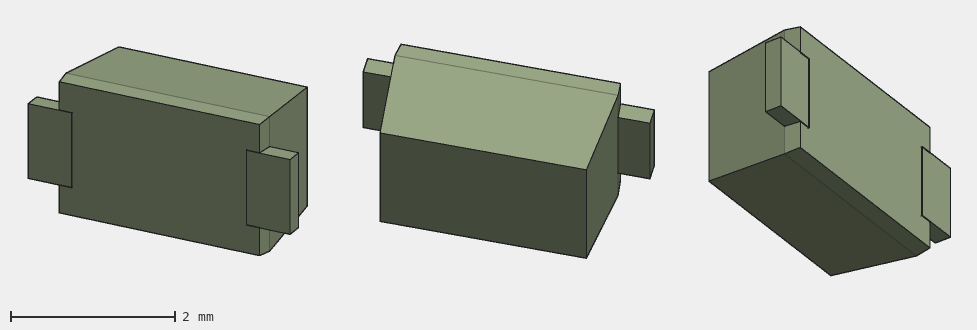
import cadquery as cq

housing_length = 2.8
housing_height = 1.8
back_draft = 5.0
front_draft = 6.0

overall_length = 3.6
terminal_length = 0.6
terminal_height = 1.0
terminal_thickness = 0.23
standoff = 0.01

overall_depth = 1.43
mounting_y = -overall_depth / 2
parting_y = mounting_y + terminal_thickness
front_depth = terminal_thickness - standoff
back_depth = overall_depth - terminal_thickness


def drafted_half(depth, draft, direction):
    """Half of the housing, narrowing from the parting plane along Y (direction +1 or -1)."""
    parting_plane = cq.Plane(origin=(0, parting_y, 0), xDir=(1, 0, 0), normal=(0, direction, 0))
    return (
        cq.Workplane(parting_plane)
        .rect(housing_length, housing_height)
        .extrude(depth, taper=draft)
    )


def make_terminal(side):
    """Flat terminal at the -X (side -1) or +X (side +1) end, its back on the parting plane."""
    center_x = side * (overall_length - terminal_length) / 2
    center_y = mounting_y + terminal_thickness / 2
    return (
        cq.Workplane("XY")
        .box(terminal_length, terminal_thickness, terminal_height)
        .translate((center_x, center_y, 0))
    )


terminals = [make_terminal(side) for side in (-1, 1)]

housing = drafted_half(front_depth, front_draft, -1).union(drafted_half(back_depth, back_draft, 1))
for terminal in terminals:
    housing = housing.cut(terminal)

result = cq.Compound.makeCompound([housing.val(), *[terminal.val() for terminal in terminals]])